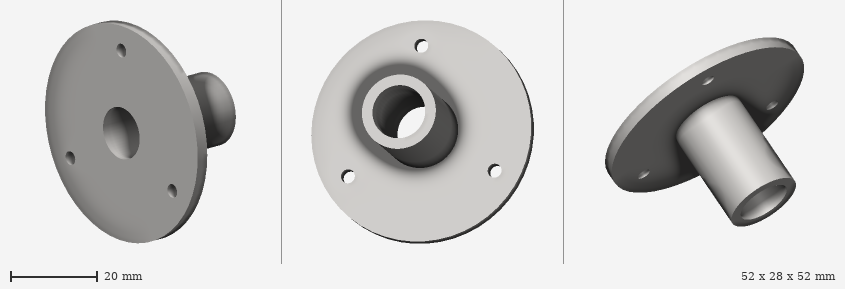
import cadquery as cq

flange_diameter = 52.0
flange_thickness = 3.0
total_length = 28.0
tube_diameter = 17.45
bore_diameter = 12.5
screw_hole_diameter = 3.3
screw_circle_radius = 20.0
screw_hole_count = 3
first_hole_angle = 90.0


def cylinder_along_y(diameter, length):
    """Cylinder on the Y axis, from Y = 0 towards +Y."""
    return cq.Workplane("XZ").circle(diameter / 2).extrude(-length)


flange = cylinder_along_y(flange_diameter, flange_thickness)
tube = cylinder_along_y(tube_diameter, total_length)

bore = cylinder_along_y(bore_diameter, total_length)

screw_holes = (
    cq.Workplane("XZ")
    .polarArray(screw_circle_radius, first_hole_angle, 360, screw_hole_count)
    .circle(screw_hole_diameter / 2)
    .extrude(-flange_thickness)
)

result = flange.union(tube).cut(bore).cut(screw_holes)